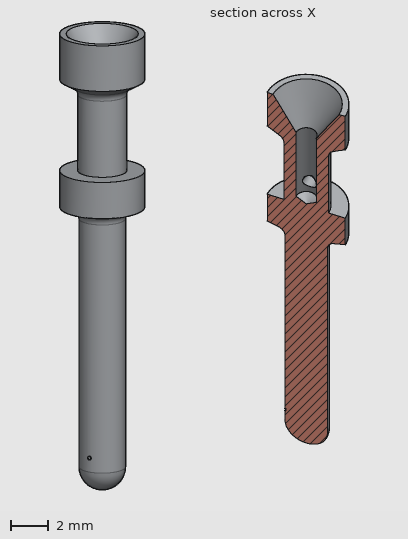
import cadquery as cq
import math

total_length = 25.0
flange_radius = 2.25
neck_radius = 1.3
pin_diameter = 2.48
pin_radius = pin_diameter / 2

head_length = 2.5
collar_top = 17.5
collar_length = 2.0

head_underside_angle = 30.0
collar_underside_angle = 15.0
blend_radius = 0.48

funnel_radius = 1.9
funnel_depth = 2.3
bore_radius = 0.58
bore_depth = 7.0
drill_point_angle = 120.0

inspection_hole_diameter = 0.8
inspection_hole_depth_from_top = 6.2

dimple_diameter = 0.2
dimple_depth = 0.05
dimple_height = 2.0
dimple_offset = -0.08

head_bottom = total_length - head_length
collar_bottom = collar_top - collar_length


def add_tapered_underside(profile, edge_height, shaft_radius, angle_degrees):
    """Continue a half-profile from a flange edge down a cone and a tangent arc to the shaft."""
    angle = math.radians(angle_degrees)
    arc_center_radius = shaft_radius + blend_radius
    cone_end_radius = arc_center_radius - blend_radius * math.sin(angle)
    cone_end_height = edge_height - (flange_radius - cone_end_radius) * math.tan(angle)
    arc_center_height = cone_end_height - blend_radius * math.cos(angle)
    middle_angle = (math.pi / 2 - angle) / 2
    arc_middle = (
        arc_center_radius - blend_radius * math.cos(middle_angle),
        arc_center_height + blend_radius * math.sin(middle_angle),
    )
    return (
        profile
        .lineTo(cone_end_radius, cone_end_height)
        .threePointArc(arc_middle, (shaft_radius, arc_center_height))
    )


def make_body():
    """Solid of revolution: head, neck, collar and round-tipped pin."""
    profile = (
        cq.Workplane("XZ")
        .moveTo(0, total_length)
        .lineTo(flange_radius, total_length)
        .lineTo(flange_radius, head_bottom)
    )
    profile = add_tapered_underside(profile, head_bottom, neck_radius, head_underside_angle)
    profile = (
        profile
        .lineTo(neck_radius, collar_top)
        .lineTo(flange_radius, collar_top)
        .lineTo(flange_radius, collar_bottom)
    )
    profile = add_tapered_underside(profile, collar_bottom, pin_radius, collar_underside_angle)
    tip_offset = pin_radius * math.sqrt(0.5)
    return (
        profile
        .lineTo(pin_radius, pin_radius)
        .threePointArc((tip_offset, pin_radius - tip_offset), (0, 0))
        .close()
        .revolve(360, (0, 0, 0), (0, 1, 0))
    )


def make_wire_entry():
    """Funnel leading into a drilled blind bore."""
    bore_bottom = total_length - bore_depth
    drill_point_length = bore_radius / math.tan(math.radians(drill_point_angle / 2))
    return (
        cq.Workplane("XZ")
        .moveTo(0, total_length)
        .lineTo(funnel_radius, total_length)
        .lineTo(bore_radius, total_length - funnel_depth)
        .lineTo(bore_radius, bore_bottom)
        .lineTo(0, bore_bottom - drill_point_length)
        .close()
        .revolve(360, (0, 0, 0), (0, 1, 0))
    )


def make_inspection_hole():
    """Radial hole from the -X side into the bore."""
    return (
        cq.Workplane("YZ")
        .center(0, total_length - inspection_hole_depth_from_top)
        .circle(inspection_hole_diameter / 2)
        .extrude(-flange_radius)
    )


def make_dimple():
    """Shallow round recess in the -Y side of the pin."""
    return (
        cq.Workplane("XZ", origin=(dimple_offset, -(pin_radius - dimple_depth), dimple_height))
        .circle(dimple_diameter / 2)
        .extrude(pin_radius)
    )


result = make_body().cut(make_wire_entry()).cut(make_inspection_hole()).cut(make_dimple())